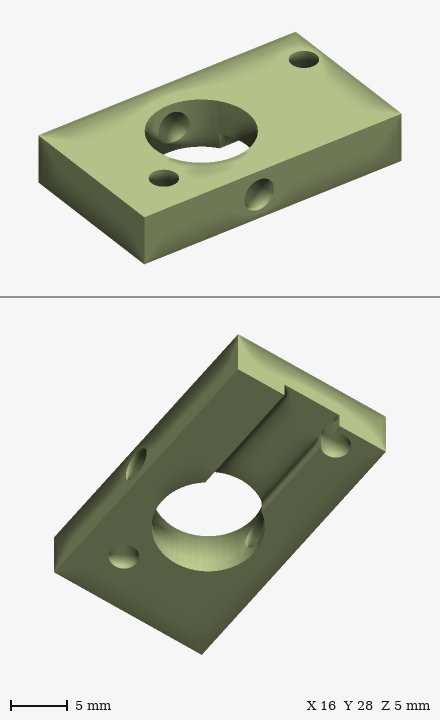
import cadquery as cq

width = 16.0
length = 28.0
thickness = 5.0

bore_diameter = 10.0
bore_x = -0.1
bore_y = -1.95

mount_diameter = 2.7
mount_offset_x = width / 4
rear_mount_y = 12.0
front_mount_y = -9.0

cross_diameter = 3.2
cross_y = -1.5

channel_width = 6.0
channel_depth = 1.5

plate = cq.Workplane("XY").box(width, length, thickness)


def vertical_hole(diameter, x, y):
    bottom = cq.Workplane("XY").workplane(offset=-thickness / 2)
    return bottom.center(x, y).circle(diameter / 2).extrude(thickness)


bore = vertical_hole(bore_diameter, bore_x, bore_y)
rear_mount = vertical_hole(mount_diameter, -mount_offset_x, rear_mount_y)
front_mount = vertical_hole(mount_diameter, mount_offset_x, front_mount_y)
left_side = cq.Workplane("YZ").workplane(offset=-width / 2)
cross_hole = left_side.center(cross_y, 0).circle(cross_diameter / 2).extrude(width)

channel_length = length / 2 - bore_y
channel = (
    cq.Workplane("XY")
    .box(channel_width, channel_length, channel_depth, centered=(True, False, False))
    .translate((0, bore_y, -thickness / 2))
)

result = plate.cut(bore).cut(rear_mount).cut(front_mount).cut(cross_hole).cut(channel)